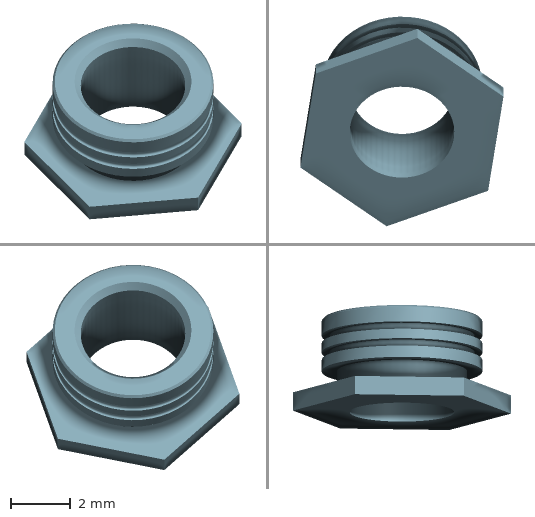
import cadquery as cq

hex_corner_diameter = 7.33
flange_height = 0.62

neck_diameter = 4.37
groove_diameter = 4.875
rib_diameter = 5.39
bore_diameter = 3.505

neck_top = 1.385
total_height = 3.17
groove_spans = [(1.775, 2.02), (2.345, 2.595)]

outer_chamfer = 0.07
bore_chamfer = 0.205


def cylinder(diameter, bottom, top):
    """Solid cylinder on the Z axis between two heights."""
    return cq.Workplane("XY").workplane(offset=bottom).circle(diameter / 2).extrude(top - bottom)


def make_flange():
    """Hexagonal plate with two corners on the X axis."""
    return cq.Workplane("XY").polygon(6, hex_corner_diameter).extrude(flange_height)


def make_barrel():
    """Chamfered barrel with its ring grooves cut in."""
    barrel = cylinder(rib_diameter, neck_top, total_height).faces(">Z").chamfer(outer_chamfer)
    for bottom, top in groove_spans:
        ring = cylinder(rib_diameter, bottom, top).cut(cylinder(groove_diameter, bottom, top))
        barrel = barrel.cut(ring)
    return barrel


neck = cylinder(neck_diameter, 0, neck_top)
body = make_flange().union(neck).union(make_barrel())

body = body.cut(cylinder(bore_diameter, 0, total_height))
result = body.faces(">Z").edges(cq.selectors.RadiusNthSelector(0)).chamfer(bore_chamfer)